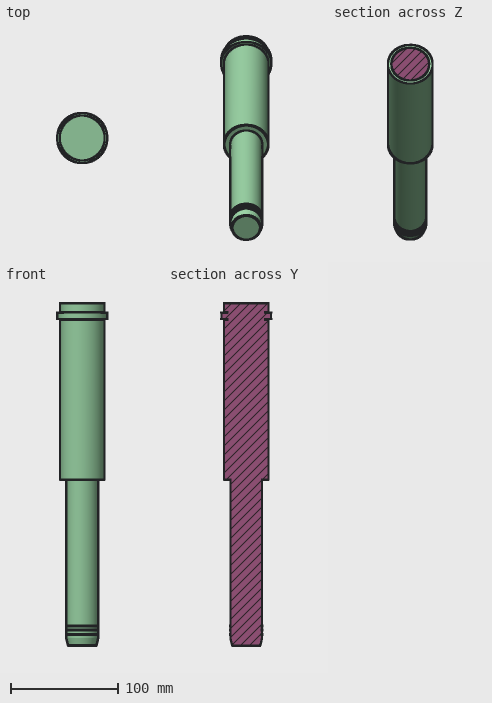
import cadquery as cq

total_length = 320.0
rod_radius = 15.0
body_radius = 42.0 / 2
body_length = 165.0
body_end_chamfer = 0.5

collar_radius = 47.0 / 2
collar_top_offset = 9.0
collar_height = 6.0
collar_gap = 0.5
collar_seat_depth = 3.2

tip_radius = 13.5
tip_height = 7.5
tip_chamfer = 0.5

groove_count = 3
groove_pitch = 4.0
groove_width = 1.0
groove_depth = 0.3
first_groove_height = 11.0


def ring(outer_radius, inner_radius, bottom, height):
    """Flat ring around the Z axis."""
    return (
        cq.Workplane("XY")
        .workplane(offset=bottom)
        .circle(outer_radius)
        .circle(inner_radius)
        .extrude(height)
    )


body_bottom = total_length - body_length
pin = (
    cq.Workplane("XZ")
    .moveTo(0, 0)
    .lineTo(tip_radius - tip_chamfer, 0)
    .lineTo(tip_radius, tip_chamfer)
    .lineTo(rod_radius, tip_height)
    .lineTo(rod_radius, body_bottom)
    .lineTo(body_radius - body_end_chamfer, body_bottom)
    .lineTo(body_radius, body_bottom + body_end_chamfer)
    .lineTo(body_radius, total_length)
    .lineTo(0, total_length)
    .close()
    .revolve(360, (0, 0, 0), (0, 1, 0))
)

collar_bottom = total_length - collar_top_offset - collar_height
collar_seat_radius = body_radius - collar_seat_depth
pin = pin.cut(
    ring(
        collar_radius,
        collar_seat_radius,
        collar_bottom - collar_gap,
        collar_height + 2 * collar_gap,
    )
)
pin = pin.union(ring(collar_radius, collar_seat_radius, collar_bottom, collar_height))

for index in range(groove_count):
    groove_bottom = first_groove_height + index * groove_pitch - groove_width / 2
    pin = pin.cut(ring(rod_radius + groove_depth, rod_radius - groove_depth, groove_bottom, groove_width))

result = pin